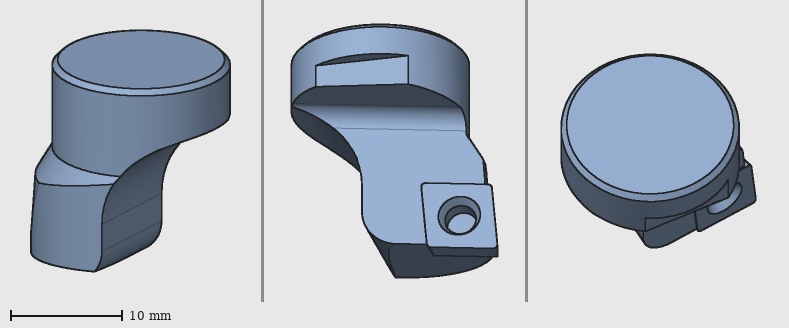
import cadquery as cq
import math

HEAD_RADIUS = 8.0
TOP_CHAMFER = 0.5
HEAD_BOTTOM = -8.32

FLARE_RADIUS = 9.52
FLARE_BOTTOM = -10.95
NECK_TAPER = 4.0
BELLY_X = -1.1
BELLY_Y = 0.7
BELLY_RADIUS = 9.4
STOCK_BOTTOM = -22.0
STOCK_SIZE = 30.0

GULLET_RADIUS = 8.0
GULLET_Z = -12.88
NECK_RIGHT_X = 1.4
HEEL_RADIUS = 3.4

LEAD_ANGLE = 5.0
RELIEF_ANGLE = 6.8
UNDERSIDE_Z = -18.65

RAKE_ANGLE = 6.4
RAKE_Y = 1.08
SHELF_Z = -5.7
SHELF_FILLET = 1.6

FLAT_Y = 6.75
FLAT_TOP = -3.18

INSERT_INSCRIBED = 6.35
INSERT_NOSE_ANGLE = 80.0
INSERT_THICKNESS = 2.38
INSERT_CLEARANCE = 7.0
INSERT_NOSE_RADIUS = 0.4
INSERT_PROUD = 0.18
INSERT_X = -7.42
INSERT_Z = -16.55
SCREW_HOLE_DIAMETER = 2.8
SCREW_SINK_DIAMETER = 3.8
SCREW_SINK_ANGLE = 60.0


def slope(angle):
    return math.tan(math.radians(angle))


def rake_plane(x, z, proud=0.0):
    """Plane parallel to the rake face: local Y is up, local Z points into the holder."""
    y = RAKE_Y + x * slope(RAKE_ANGLE) + proud / math.cos(math.radians(RAKE_ANGLE))
    turn = math.radians(RAKE_ANGLE)
    return cq.Plane(
        origin=(x, y, z),
        xDir=(math.cos(turn), math.sin(turn), 0),
        normal=(math.sin(turn), -math.cos(turn), 0),
    )


def make_head():
    head = cq.Workplane("XY").circle(HEAD_RADIUS).extrude(HEAD_BOTTOM)
    return head.faces(">Z").chamfer(TOP_CHAMFER)


def make_neck():
    tip_radius = FLARE_RADIUS + (FLARE_BOTTOM - STOCK_BOTTOM) * slope(NECK_TAPER)
    flared = (
        cq.Workplane("XZ")
        .moveTo(0, HEAD_BOTTOM)
        .lineTo(HEAD_RADIUS, HEAD_BOTTOM)
        .lineTo(FLARE_RADIUS, FLARE_BOTTOM)
        .lineTo(tip_radius, STOCK_BOTTOM)
        .lineTo(0, STOCK_BOTTOM)
        .close()
        .revolve(360, (0, 0, 0), (0, 1, 0))
    )
    belly = cq.Workplane("XY").center(BELLY_X, BELLY_Y).circle(BELLY_RADIUS).extrude(STOCK_BOTTOM)
    return flared.intersect(belly)


def side_outline():
    """Prism along Y that shapes the gullet and the rounded heel."""
    gullet_x = NECK_RIGHT_X + GULLET_RADIUS
    gullet_mid = GULLET_RADIUS * math.sqrt(0.5)
    heel_x = NECK_RIGHT_X - HEEL_RADIUS
    edge_slope = slope(LEAD_ANGLE) - slope(RELIEF_ANGLE) * slope(RAKE_ANGLE)
    edge_z = UNDERSIDE_Z - slope(RELIEF_ANGLE) * RAKE_Y
    lead = math.atan(edge_slope)
    heel_z = edge_z + edge_slope * heel_x + HEEL_RADIUS / math.cos(lead)
    heel_start = (heel_x + HEEL_RADIUS, heel_z)
    heel_end = (heel_x + HEEL_RADIUS * math.sin(lead), heel_z - HEEL_RADIUS * math.cos(lead))
    mid = (lead - math.pi / 2) / 2
    heel_mid = (heel_x + HEEL_RADIUS * math.cos(mid), heel_z + HEEL_RADIUS * math.sin(mid))
    left = -STOCK_SIZE / 2
    return (
        cq.Workplane("XZ")
        .moveTo(left, 0)
        .lineTo(gullet_x, 0)
        .lineTo(gullet_x, GULLET_Z + GULLET_RADIUS)
        .threePointArc((gullet_x - gullet_mid, GULLET_Z + gullet_mid), (NECK_RIGHT_X, GULLET_Z))
        .lineTo(*heel_start)
        .threePointArc(heel_mid, heel_end)
        .lineTo(left, edge_z + edge_slope * left)
        .close()
        .extrude(STOCK_SIZE / 2, both=True)
    )


def underside_cut():
    normal = (-slope(LEAD_ANGLE), slope(RELIEF_ANGLE), 1)
    plane = cq.Plane(origin=(0, 0, UNDERSIDE_Z), xDir=(1, 0, slope(LEAD_ANGLE)), normal=normal)
    return cq.Workplane(plane).rect(STOCK_SIZE, STOCK_SIZE).extrude(-STOCK_SIZE)


def rake_cut():
    """Clears everything behind the rake face and below the shelf."""
    half = STOCK_SIZE / 2
    rise = half * slope(LEAD_ANGLE)
    block = (
        cq.Workplane(rake_plane(0, SHELF_Z))
        .polyline([(-half, -rise), (half, rise), (half, -STOCK_SIZE), (-half, -STOCK_SIZE)])
        .close()
        .extrude(-STOCK_SIZE)
    )
    return block.faces("<Y").edges(">Z").fillet(SHELF_FILLET)


def flat_cut():
    return (
        cq.Workplane("XY")
        .box(STOCK_SIZE, STOCK_SIZE, STOCK_SIZE, centered=(True, False, False))
        .translate((0, FLAT_Y, FLAT_TOP - STOCK_SIZE))
    )


def make_insert_blank():
    """Rhombus with its sharp nose at the lower left, narrowing away from the rake face."""
    half_nose = math.radians(INSERT_NOSE_ANGLE / 2)
    side = INSERT_INSCRIBED / math.sin(2 * half_nose)
    long_half = side * math.cos(half_nose)
    short_half = side * math.sin(half_nose)
    rhombus = (
        cq.Sketch()
        .polygon([(-long_half, 0), (0, -short_half), (long_half, 0), (0, short_half), (-long_half, 0)])
        .vertices()
        .fillet(INSERT_NOSE_RADIUS)
    )
    plane = rake_plane(INSERT_X, INSERT_Z, INSERT_PROUD)
    return (
        cq.Workplane(plane)
        .transformed(rotate=(0, 0, 45))
        .placeSketch(rhombus)
        .extrude(INSERT_THICKNESS, taper=INSERT_CLEARANCE)
    )


def make_insert(blank):
    plane = rake_plane(INSERT_X, INSERT_Z, INSERT_PROUD)
    hole = cq.Workplane(plane).circle(SCREW_HOLE_DIAMETER / 2).extrude(INSERT_THICKNESS)
    sink_depth = (SCREW_SINK_DIAMETER - SCREW_HOLE_DIAMETER) / 2 / slope(SCREW_SINK_ANGLE / 2)
    sink = (
        cq.Workplane(plane)
        .circle(SCREW_SINK_DIAMETER / 2)
        .extrude(sink_depth, taper=SCREW_SINK_ANGLE / 2)
    )
    return blank.cut(hole).cut(sink)


def make_holder(pocket):
    holder = make_head().union(make_neck())
    holder = holder.intersect(side_outline())
    return holder.cut(underside_cut()).cut(rake_cut()).cut(flat_cut()).cut(pocket)


blank = make_insert_blank()
holder = make_holder(blank)
insert = make_insert(blank)

result = cq.Compound.makeCompound([holder.val(), insert.val()])